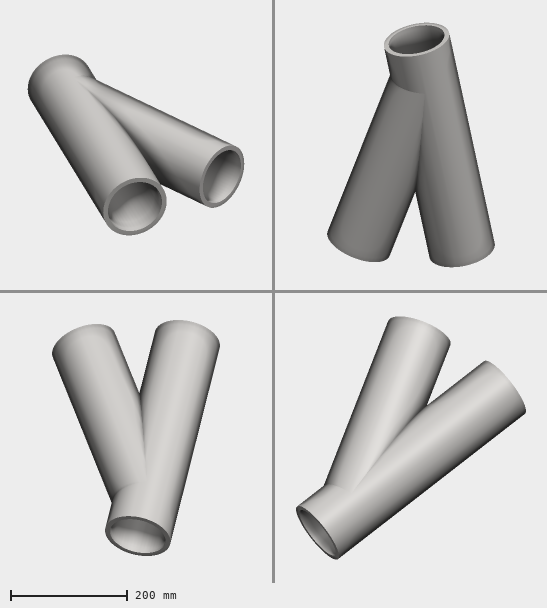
import cadquery as cq
import math

main_length = 419.0
outer_diameter = 114.5
bore_diameter = 97.2
branch_angle = 30.0
junction_x = 76.0
overall_width = 278.3

outer_radius = outer_diameter / 2
angle = math.radians(branch_angle)
tip_y = overall_width - outer_radius
branch_length = (tip_y - outer_radius * math.cos(angle)) / math.sin(angle)

main_start = cq.Vector(0, 0, 0)
main_direction = cq.Vector(1, 0, 0)
junction = cq.Vector(junction_x, 0, 0)
branch_direction = cq.Vector(math.cos(angle), math.sin(angle), 0)


def wye_body(diameter):
    """Solid union of the main and branch cylinders at one diameter."""
    radius = diameter / 2
    main = cq.Solid.makeCylinder(radius, main_length, main_start, main_direction)
    branch = cq.Solid.makeCylinder(radius, branch_length, junction, branch_direction)
    return cq.Workplane(obj=main).union(cq.Workplane(obj=branch))


result = wye_body(outer_diameter).cut(wye_body(bore_diameter))